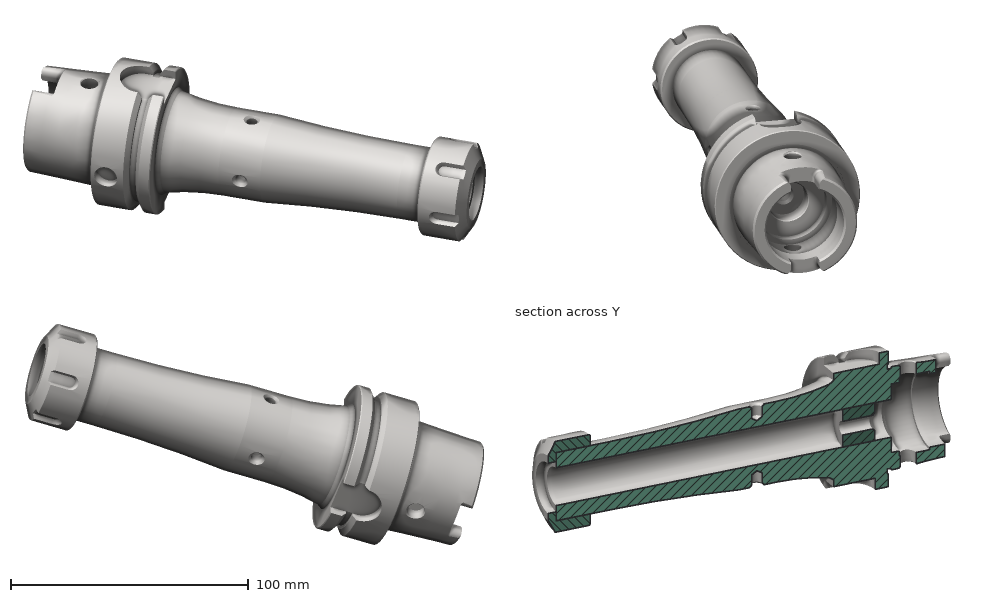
import cadquery as cq
import math


taper_rear_radius = 22.6
taper_front_radius = 24.0
taper_end = 29.4
rear_chamfer = 0.8
neck_end = 30.5
relief_radius = 23.2
relief_shoulder = taper_front_radius - relief_radius

flange_face = 32.0
flange_end = 58.0
flange_radius = 31.5
flange_chamfer = 0.4
face_recess_radius = 25.1
face_recess_depth = 0.5
groove_center = 49.7
groove_floor_width = 2.9
groove_mouth_width = 6.7
groove_floor_radius = 27.5
groove_wall_radius = 29.0

root_radius = 23.0
root_length = 2.0
flare_radius = 21.7
waist_start = 84.5
waist_end = 102.7
waist_radius = 18.8
nose_start = 161.8
nose_radius = 16.0
nose_end = 188.0

mouth_radius = 17.7
mouth_chamfer = 0.8
clamp_bore_radius = mouth_radius - mouth_chamfer
clamp_bore_end = 12.9
undercut_radius = 18.0
undercut_end = 26.9
inner_bore_radius = 15.7
cavity_end = 30.7
center_bore_radius = 8.6
center_bore_chamfer = 0.4

drive_slot_half_width = 6.1
drive_slot_wall_top = 18.0
drive_slot_round = 2.9
drive_slot_corner = 1.0
upper_drive_slot_depth = 9.8
lower_drive_slot_depth = 5.5

clamp_hole_x = 22.8
clamp_hole_radius = 3.6
clamp_hole_mouth_radius = 4.2
chip_hole_x = 38.8
chip_hole_radius = 5.0
chip_hole_depth = 4.6
balance_hole_x = 93.8
balance_hole_radius = 2.3
balance_hole_depth = 5.8
balance_hole_mouth_radius = 3.5
balance_hole_count = 4
drill_tip_half_angle = 59

keyway_floor = 26.3
upper_keyway_start = 36.5
upper_keyway_width = 18.0
lower_keyway_start = 38.4
lower_keyway_width = 16.1

nut_start = 172.0
nut_end = 191.9
nut_radius = 21.1
nut_rear_chamfer = 0.5
nut_front_cone_start = 188.5
nut_front_radius = 15.0
nut_opening_radius = 11.5
nut_slot_count = 6
nut_slot_start = 177.1
nut_slot_floor_radius = 19.0
nut_slot_floor_width = 4.5
nut_slot_wall_angle = 27

screw_start = 38.4
screw_length = 15.4
screw_hole_radius = 3.0
screw_hole_chamfer = 1.2


def turn(profile):
    """Close a half-profile, given as (x, radius), and revolve it about the X axis."""
    return profile.close().revolve(360, (0, 0, 0), (1, 0, 0))


def tangent_arc_radius(length, rise):
    """Radius of an arc that starts parallel to the axis and rises over a length."""
    return (length ** 2 + rise ** 2) / (2 * rise)


def arc_midpoint(tangent_x, tangent_radius, far_x, far_radius):
    """Point halfway along X on an arc that is parallel to the axis at its tangent end."""
    arc = tangent_arc_radius(abs(far_x - tangent_x), far_radius - tangent_radius)
    half = abs(far_x - tangent_x) / 2
    rise = arc - math.sqrt(arc ** 2 - half ** 2)
    return ((tangent_x + far_x) / 2, tangent_radius + rise)


def holder_blank():
    groove_floor_half = groove_floor_width / 2
    groove_mouth_half = groove_mouth_width / 2
    flare_start = flange_end + root_length
    profile = (
        cq.Workplane("XY")
        .moveTo(0, 0)
        .lineTo(0, taper_rear_radius - rear_chamfer)
        .lineTo(rear_chamfer, taper_rear_radius)
        .lineTo(taper_end, taper_front_radius)
        .lineTo(neck_end, taper_front_radius)
        .lineTo(neck_end + relief_shoulder, relief_radius)
        .lineTo(flange_face + face_recess_depth, relief_radius)
        .lineTo(flange_face + face_recess_depth, face_recess_radius)
        .lineTo(flange_face, face_recess_radius)
        .lineTo(flange_face, flange_radius - flange_chamfer)
        .lineTo(flange_face + flange_chamfer, flange_radius)
        .lineTo(groove_center - groove_mouth_half, flange_radius)
        .lineTo(groove_center - groove_floor_half, groove_wall_radius)
        .lineTo(groove_center - groove_floor_half, groove_floor_radius)
        .lineTo(groove_center + groove_floor_half, groove_floor_radius)
        .lineTo(groove_center + groove_floor_half, groove_wall_radius)
        .lineTo(groove_center + groove_mouth_half, flange_radius)
        .lineTo(flange_end - flange_chamfer, flange_radius)
        .lineTo(flange_end, flange_radius - flange_chamfer)
        .lineTo(flange_end, root_radius)
        .lineTo(flare_start, flare_radius)
        .threePointArc(
            arc_midpoint(waist_start, waist_radius, flare_start, flare_radius),
            (waist_start, waist_radius),
        )
        .lineTo(waist_end, waist_radius)
        .threePointArc(
            arc_midpoint(nose_start, nose_radius, waist_end, waist_radius),
            (nose_start, nose_radius),
        )
        .lineTo(nose_end, nose_radius)
        .lineTo(nose_end, 0)
    )
    return turn(profile)


def holder_bore():
    profile = (
        cq.Workplane("XY")
        .moveTo(0, 0)
        .lineTo(0, mouth_radius)
        .lineTo(mouth_chamfer, clamp_bore_radius)
        .lineTo(clamp_bore_end, clamp_bore_radius)
        .lineTo(clamp_bore_end, undercut_radius)
        .lineTo(undercut_end, undercut_radius)
        .lineTo(undercut_end, inner_bore_radius)
        .lineTo(cavity_end, inner_bore_radius)
        .lineTo(cavity_end, center_bore_radius + center_bore_chamfer)
        .lineTo(cavity_end + center_bore_chamfer, center_bore_radius)
        .lineTo(nose_end, center_bore_radius)
        .lineTo(nose_end, 0)
    )
    return turn(profile)


def drive_slot(depth, side):
    """Slot through the rear rim with rounded-over side walls; side is +1 for +Z and -1 for -Z."""
    inner = inner_bore_radius / 2
    outer = taper_front_radius + drive_slot_corner
    round_end = drive_slot_half_width + drive_slot_round
    shoulder_end = round_end + drive_slot_round
    round_top = drive_slot_wall_top + drive_slot_round
    diagonal = drive_slot_round * math.sqrt(0.5)
    arc_y = round_end - diagonal
    arc_z = drive_slot_wall_top + diagonal
    slot = (
        cq.Workplane("YZ")
        .moveTo(-drive_slot_half_width, inner)
        .lineTo(drive_slot_half_width, inner)
        .lineTo(drive_slot_half_width, drive_slot_wall_top)
        .threePointArc((arc_y, arc_z), (round_end, round_top))
        .lineTo(shoulder_end, round_top)
        .lineTo(shoulder_end, outer)
        .lineTo(-shoulder_end, outer)
        .lineTo(-shoulder_end, round_top)
        .lineTo(-round_end, round_top)
        .threePointArc((-arc_y, arc_z), (-drive_slot_half_width, drive_slot_wall_top))
        .close()
        .extrude(depth)
    )
    slot = slot.faces(">X").edges().fillet(drive_slot_corner)
    if side < 0:
        slot = slot.mirror("XY")
    return slot


def keyway(start, width, side):
    """Keyway from a round rear end through the front of the flange, at +Z or -Z."""
    round_center = start + width / 2
    plan = (
        cq.Workplane("XY")
        .moveTo(round_center, -width / 2)
        .lineTo(flange_end, -width / 2)
        .lineTo(flange_end, width / 2)
        .lineTo(round_center, width / 2)
        .threePointArc((start, 0), (round_center, -width / 2))
        .close()
        .extrude(flange_radius - keyway_floor)
        .translate((0, 0, keyway_floor))
    )
    if side < 0:
        plan = plan.mirror("XY")
    return plan


def clamp_hole(angle):
    """Countersunk hole through one wall of the shank, turned about the X axis from +Z."""
    wall_slope = (taper_front_radius - taper_rear_radius) / (taper_end - rear_chamfer)
    surface = taper_rear_radius + wall_slope * (clamp_hole_x - rear_chamfer)
    countersink = clamp_hole_mouth_radius - clamp_hole_radius
    return (
        cq.Workplane("XZ")
        .moveTo(0, 0)
        .lineTo(clamp_hole_radius, 0)
        .lineTo(clamp_hole_radius, surface - countersink)
        .lineTo(clamp_hole_mouth_radius, surface)
        .lineTo(clamp_hole_mouth_radius, taper_front_radius)
        .lineTo(0, taper_front_radius)
        .close()
        .revolve(360, (0, 0, 0), (0, 1, 0))
        .translate((clamp_hole_x, 0, 0))
        .rotate((0, 0, 0), (1, 0, 0), angle)
    )


def chip_hole():
    return (
        cq.Workplane("XZ", origin=(chip_hole_x, chip_hole_depth - flange_radius, 0))
        .circle(chip_hole_radius)
        .extrude(chip_hole_depth)
    )


def balance_hole(angle):
    """Countersunk blind hole with a drill tip, turned about the X axis from +Z."""
    floor = waist_radius - balance_hole_depth
    tip = floor - balance_hole_radius / math.tan(math.radians(drill_tip_half_angle))
    countersink = balance_hole_mouth_radius - balance_hole_radius
    return (
        cq.Workplane("XZ")
        .moveTo(0, tip)
        .lineTo(balance_hole_radius, floor)
        .lineTo(balance_hole_radius, waist_radius - countersink)
        .lineTo(balance_hole_mouth_radius, waist_radius)
        .lineTo(0, waist_radius)
        .close()
        .revolve(360, (0, 0, 0), (0, 1, 0))
        .translate((balance_hole_x, 0, 0))
        .rotate((0, 0, 0), (1, 0, 0), angle)
    )


def make_holder():
    body = holder_blank().cut(holder_bore())
    body = body.cut(drive_slot(upper_drive_slot_depth, 1))
    body = body.cut(drive_slot(lower_drive_slot_depth, -1))
    body = body.cut(keyway(upper_keyway_start, upper_keyway_width, 1))
    body = body.cut(keyway(lower_keyway_start, lower_keyway_width, -1))
    body = body.cut(clamp_hole(0))
    body = body.cut(clamp_hole(180))
    body = body.cut(chip_hole())
    for index in range(balance_hole_count):
        body = body.cut(balance_hole(index * 360 / balance_hole_count))
    return body


def nut_slot(angle):
    """Spanner slot with a round end and sloping walls, open at the front of the nut."""
    depth = nut_radius - nut_slot_floor_radius
    slope = depth * math.tan(math.radians(nut_slot_wall_angle))
    floor_half = nut_slot_floor_width / 2
    round_center = nut_slot_start + slope + floor_half
    front = nut_end + slope
    return (
        cq.Workplane("XY", origin=(0, 0, nut_slot_floor_radius))
        .moveTo(round_center, -floor_half)
        .lineTo(front, -floor_half)
        .lineTo(front, floor_half)
        .lineTo(round_center, floor_half)
        .threePointArc((round_center - floor_half, 0), (round_center, -floor_half))
        .close()
        .extrude(depth, taper=-nut_slot_wall_angle)
        .rotate((0, 0, 0), (1, 0, 0), angle)
    )


def make_nut():
    profile = (
        cq.Workplane("XY")
        .moveTo(nut_start, nose_radius)
        .lineTo(nut_start, nut_radius - nut_rear_chamfer)
        .lineTo(nut_start + nut_rear_chamfer, nut_radius)
        .lineTo(nut_front_cone_start, nut_radius)
        .lineTo(nut_end, nut_front_radius)
        .lineTo(nut_end, nut_opening_radius)
        .lineTo(nose_end, nut_opening_radius)
        .lineTo(nose_end, nose_radius)
    )
    body = turn(profile)
    pitch = 360 / nut_slot_count
    for index in range(nut_slot_count):
        body = body.cut(nut_slot((index + 0.5) * pitch))
    return body


def make_stop_screw():
    screw_end = screw_start + screw_length
    profile = (
        cq.Workplane("XY")
        .moveTo(screw_start, screw_hole_radius + screw_hole_chamfer)
        .lineTo(screw_start, center_bore_radius)
        .lineTo(screw_end, center_bore_radius)
        .lineTo(screw_end, screw_hole_radius)
        .lineTo(screw_start + screw_hole_chamfer, screw_hole_radius)
    )
    return turn(profile)


holder = make_holder()
nut = make_nut()
stop_screw = make_stop_screw()

result = cq.Compound.makeCompound([holder.val(), nut.val(), stop_screw.val()])